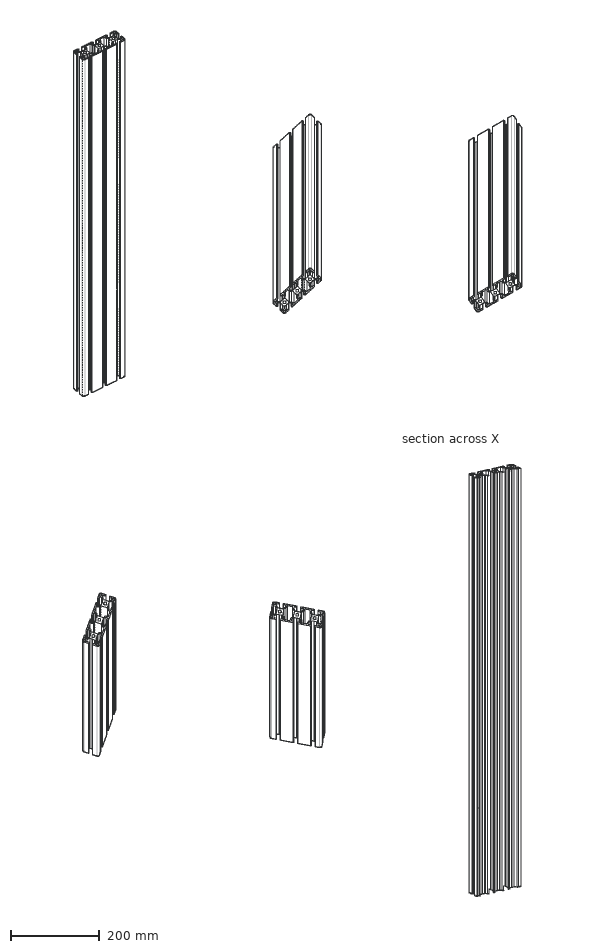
import cadquery as cq

module = 40.0
module_count = 3
length = 1000.0
width = module
depth = module * module_count
corner_radius = 4.5

slot_opening = 8.5
lip_thickness = 3.4
slot_inner_width = 21.0
slot_floor_width = 11.8
slot_depth = 12.25
slot_wall_height = 4.25
lip_edge_chamfer = 1.0
floor_groove_width = 1.0
floor_groove_depth = 0.5

core_bore = 6.5
chamber_depth = 24.2
chamber_wall_height = 11.7
chamber_waist_width = 19.0
chamber_waist_height = 15.5
chamber_end_width = 16.5

corner_bore = 4.5
corner_bore_inset = 4.5

module_centres = [module * (i - (module_count - 1) / 2) for i in range(module_count)]


def make_bar():
    bar = cq.Workplane("XY").rect(width, depth).extrude(length)
    return bar.edges("|Z").fillet(corner_radius)


def make_slot():
    """T-slot cutter with its mouth centred on the Z axis, sinking towards -Y."""
    mouth = slot_opening / 2
    inner = slot_inner_width / 2
    floor = slot_floor_width / 2
    right_side = [
        (mouth + lip_edge_chamfer, 0),
        (mouth, -lip_edge_chamfer),
        (mouth, -lip_thickness),
        (inner, -lip_thickness),
        (inner, -lip_thickness - slot_wall_height),
        (floor, -slot_depth),
        (floor_groove_width / 2, -slot_depth),
    ]
    groove_bottom = [(0, -slot_depth - floor_groove_depth)]
    left_side = [(-x, y) for x, y in reversed(right_side)]
    return cq.Workplane("XY").polyline(right_side + groove_bottom + left_side).close().extrude(length)


def make_chamber():
    """Waisted chamber cutter between two neighbouring modules, centred on the origin."""
    upper_right = [
        (width / 2 - lip_thickness, chamber_wall_height / 2),
        (chamber_waist_width / 2, chamber_waist_height / 2),
        (chamber_end_width / 2, chamber_depth / 2),
    ]
    upper_left = [(-x, y) for x, y in reversed(upper_right)]
    lower_left = [(-x, -y) for x, y in upper_right]
    lower_right = [(-x, y) for x, y in reversed(lower_left)]
    outline = upper_right + upper_left + lower_left + lower_right
    return cq.Workplane("XY").polyline(outline).close().extrude(length)


def cut_slots(bar):
    slot = make_slot()
    for end_angle in (0, 180):
        bar = bar.cut(slot.translate((0, depth / 2, 0)).rotate((0, 0, 0), (0, 0, 1), end_angle))
    for side_angle in (90, -90):
        side_slot = slot.translate((0, width / 2, 0)).rotate((0, 0, 0), (0, 0, 1), side_angle)
        for y in module_centres:
            bar = bar.cut(side_slot.translate((0, y, 0)))
    return bar


def cut_cores_and_chambers(bar):
    bore = cq.Workplane("XY").circle(core_bore / 2).extrude(length)
    for y in module_centres:
        bar = bar.cut(bore.translate((0, y, 0)))
    chamber = make_chamber()
    for y in module_centres[:-1]:
        bar = bar.cut(chamber.translate((0, y + module / 2, 0)))
    return bar


def cut_corner_bores(bar):
    bores = (
        cq.Workplane("XY")
        .rect(width - 2 * corner_bore_inset, depth - 2 * corner_bore_inset, forConstruction=True)
        .vertices()
        .circle(corner_bore / 2)
        .extrude(length)
    )
    return bar.cut(bores)


result = cut_corner_bores(cut_cores_and_chambers(cut_slots(make_bar())))